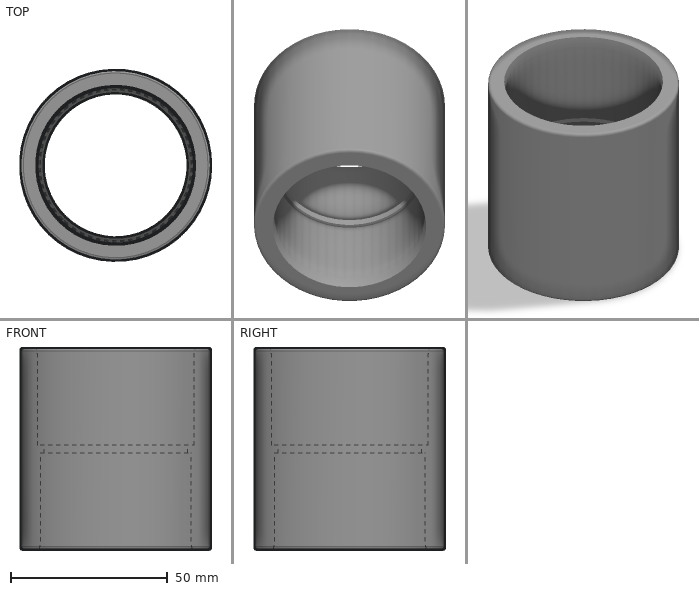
import cadquery as cq
import math

outer_diameter = 61.0
length = 64.5
rim_fillet = 1.0

stop_diameter = 46.0
stop_thickness = 2.5

upper_socket_diameter = 50.0
lower_socket_diameter = 48.2
socket_depth = (length - stop_thickness) / 2

lead_in_height = 3.5
lead_in_flare = 0.35
lead_in_radius = (lead_in_height**2 + lead_in_flare**2) / (2 * lead_in_flare)


def sleeve_body():
    """Solid cylinder standing on Z = 0 with rounded end rims."""
    body = cq.Workplane("XY").circle(outer_diameter / 2).extrude(length)
    return body.faces("<Z or >Z").edges().fillet(rim_fillet)


def socket_cavity(diameter):
    """Socket void with its floor at Z = 0 and its flared mouth at Z = socket_depth."""
    wall_radius = diameter / 2
    lead_in_start = socket_depth - lead_in_height
    half_angle = math.asin(lead_in_height / lead_in_radius) / 2
    arc_middle = (
        wall_radius + lead_in_radius * (1 - math.cos(half_angle)),
        lead_in_start + lead_in_radius * math.sin(half_angle),
    )
    return (
        cq.Workplane("XZ")
        .lineTo(wall_radius, 0)
        .lineTo(wall_radius, lead_in_start)
        .threePointArc(arc_middle, (wall_radius + lead_in_flare, socket_depth))
        .lineTo(0, socket_depth)
        .close()
        .revolve(360, (0, 0, 0), (0, 1, 0))
    )


def stop_bore():
    """Through bore that leaves the stop ring between the sockets."""
    return cq.Workplane("XY").circle(stop_diameter / 2).extrude(length)


upper_socket = socket_cavity(upper_socket_diameter).translate((0, 0, length - socket_depth))
lower_socket = socket_cavity(lower_socket_diameter).mirror("XY").translate((0, 0, socket_depth))

result = sleeve_body().cut(stop_bore()).cut(upper_socket).cut(lower_socket)